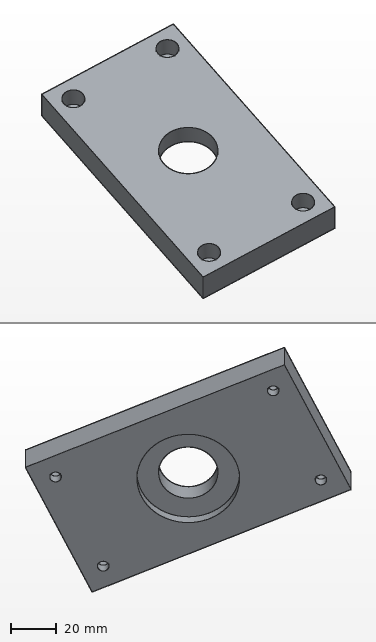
import cadquery as cq

length = 125.0
width = 70.0
thickness = 15.0

bore_diameter = 26.0
recess_diameter = 45.0
recess_depth = 5.0

edge_inset = 10.0
screw_diameter = 5.0
counterbore_diameter = 10.0
counterbore_depth = 10.0

plate = cq.Workplane("XY").box(length, width, thickness)

bored_plate = (
    plate.faces("<Z")
    .workplane()
    .cboreHole(bore_diameter, recess_diameter, recess_depth)
)

result = (
    bored_plate.faces(">Z")
    .workplane(origin=(0, 0, 0))
    .rect(length - 2 * edge_inset, width - 2 * edge_inset, forConstruction=True)
    .vertices()
    .cboreHole(screw_diameter, counterbore_diameter, counterbore_depth)
)